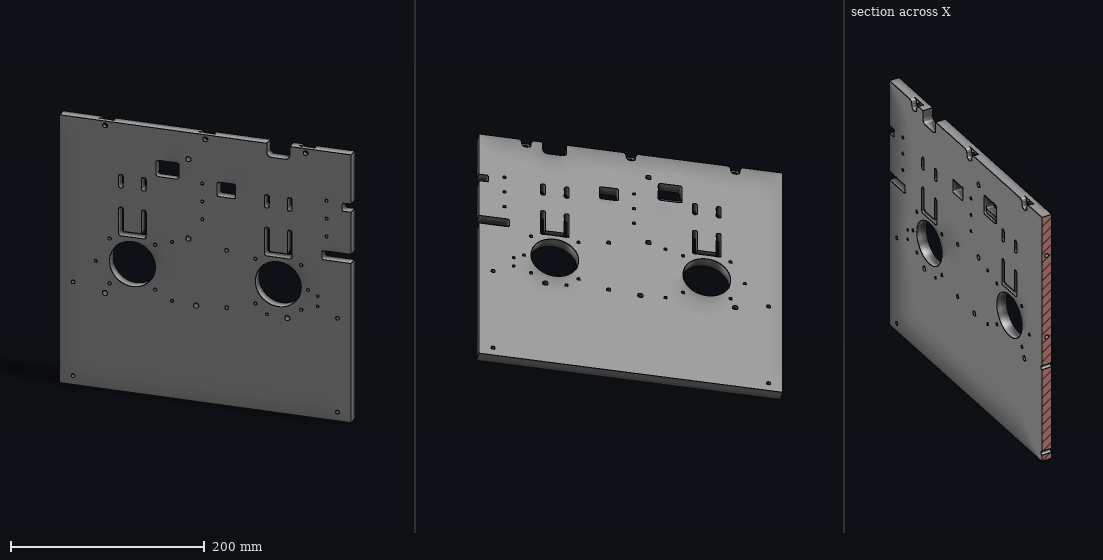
import cadquery as cq
import math

width = 320.0
height = 300.0
thickness = 12.0
right_edge = width / 2
top_edge = height / 2

station_offset = 80.0
bore_centre_z = -6.0
bore_diameter = 50.0
bore_screw_pitch = 50.0
bore_screw_diameter = 3.3
slot_width = 5.0
slot_pitch = 25.0
short_slot_length = 15.0
short_slot_z = 85.0
u_slot_top = 56.0
u_slot_bottom = 24.0

rounded_window = (-41.5, 105.0, 25.0, 18.0)
rounded_window_radius = 3.0
window_recess_depth = 3.0
window_recess_drop = 5.0
plain_window = (23.0, 91.0, 20.0, 16.0)
plain_window_radius = 2.0

top_notch_width = 25.0
top_notch_depth = 15.0
top_notch_radius = 5.0
side_notch_radius = 2.0
upper_side_notch = (90.2, 10.0, 9.0)
lower_side_notch = (33.4, 32.0, 10.0)

seat_pitch = 110.0
seat_inset = 5.0
seat_hole_diameter = 5.0
seat_width = 10.0
seat_depth = 6.0
seat_flare_radius = 4.0

large_hole_diameter = 5.5
large_holes = [(-18.5, 120.2), (-18.5, 31.2), (-110.0, -42.5), (-10.0, -42.5), (90.0, -42.5)]
corner_hole_diameter = 4.0
corner_hole_x = 145.0
corner_hole_heights = [-35.0, -140.0]
medium_hole_diameter = 4.0
medium_holes = [(23.4, 24.0), (23.4, -40.1)]
small_hole_diameter = 3.0
small_holes = [(-36.5, 25.0), (-36.5, -41.0), (67.6, -41.4), (-120.0, -8.0), (112.5, -8.0)]
small_column_x = [-3.3, 133.0]
small_column_heights = [95.0, 75.0, 55.0]
pin_hole_diameter = 2.5
pin_holes = [(123.2, -13.2), (123.2, -24.7)]

side_hole_heights = [101.0, 1.0]
side_mouth_diameter = 5.8
side_mouth_depth = 0.5
side_hole_diameter = 4.2
side_hole_depth = 20.0
drill_tip_angle = 118.0


def rear_plane(x=0, z=0):
    """Workplane on the rear face, extruding forward; local axes are X and Z."""
    return cq.Workplane("XZ", origin=(x, thickness / 2, z))


def hole_cutter(points, diameter):
    return rear_plane().pushPoints(points).circle(diameter / 2).extrude(thickness)


def box_cutter(x, z, size_x, size_z):
    return cq.Workplane("XY").box(size_x, thickness, size_z).translate((x, 0, z))


def slot_cutter(x, z, length, angle):
    return rear_plane(x, z).slot2D(length, slot_width, angle).extrude(thickness)


def station_cutter(x):
    """Large bore with its four screws, the two short slots and the U slot below them."""
    screw_pattern = rear_plane(x, bore_centre_z)
    cutter = hole_cutter([(x, bore_centre_z)], bore_diameter)
    arm_length = u_slot_top - u_slot_bottom
    arm_middle = (u_slot_top + u_slot_bottom) / 2
    screws = screw_pattern.rect(bore_screw_pitch, bore_screw_pitch, forConstruction=True).vertices()
    cutter = cutter.union(screws.circle(bore_screw_diameter / 2).extrude(thickness))
    for slot_x in (x - slot_pitch / 2, x + slot_pitch / 2):
        cutter = cutter.union(slot_cutter(slot_x, short_slot_z, short_slot_length, 90))
        cutter = cutter.union(slot_cutter(slot_x, arm_middle, arm_length, 90))
    bridge_z = u_slot_bottom + slot_width / 2
    return cutter.union(slot_cutter(x, bridge_z, slot_pitch + slot_width, 0))


def window_recess_cutter():
    x, z, size_x, size_z = rounded_window
    recess = box_cutter(x, z - window_recess_drop / 2, size_x, size_z + window_recess_drop)
    recess = recess.edges("|Y").fillet(rounded_window_radius)
    return recess.translate((0, thickness - window_recess_depth, 0))


def top_notch_cutter():
    notch = box_cutter(station_offset, top_edge, top_notch_width, 2 * top_notch_depth)
    return notch.edges("|Y").fillet(top_notch_radius)


def side_notch_cutter(z, depth, size_z):
    notch = box_cutter(right_edge, z, 2 * depth, size_z)
    return notch.edges("|Y").fillet(side_notch_radius)


def seat_cutter(x):
    """Round-bottomed recess from the rear face, flaring out into the top edge."""
    half_width = seat_width / 2
    flare_half = half_width + seat_flare_radius
    centre_z = top_edge - seat_inset
    flare_z = top_edge - seat_flare_radius
    arc_offset = seat_flare_radius / math.sqrt(2)
    outline = (
        rear_plane(x)
        .moveTo(-flare_half, top_edge)
        .threePointArc((-flare_half + arc_offset, flare_z + arc_offset), (-half_width, flare_z))
        .lineTo(-half_width, centre_z)
        .threePointArc((0, centre_z - half_width), (half_width, centre_z))
        .lineTo(half_width, flare_z)
        .threePointArc((flare_half - arc_offset, flare_z + arc_offset), (flare_half, top_edge))
        .close()
    )
    return outline.extrude(seat_depth).union(hole_cutter([(x, centre_z)], seat_hole_diameter))


def side_hole_cutter(z):
    bore_radius = side_hole_diameter / 2
    tip_length = bore_radius / math.tan(math.radians(drill_tip_angle / 2))
    mouth_radius = side_mouth_diameter / 2
    profile = (
        cq.Workplane("XY", origin=(-right_edge, 0, z))
        .lineTo(0, mouth_radius)
        .lineTo(side_mouth_depth, bore_radius)
        .lineTo(side_hole_depth, bore_radius)
        .lineTo(side_hole_depth + tip_length, 0)
        .close()
    )
    return profile.revolve(360, (0, 0, 0), (1, 0, 0))


result = cq.Workplane("XY").box(width, thickness, height)

for station_x in (-station_offset, station_offset):
    result = result.cut(station_cutter(station_x))

result = result.cut(box_cutter(*rounded_window).edges("|Y").fillet(rounded_window_radius))
result = result.cut(window_recess_cutter())
result = result.cut(box_cutter(*plain_window).edges("|Y").fillet(plain_window_radius))

result = result.cut(top_notch_cutter())
result = result.cut(side_notch_cutter(*upper_side_notch))
result = result.cut(side_notch_cutter(*lower_side_notch))

for seat_x in (-seat_pitch, 0, seat_pitch):
    result = result.cut(seat_cutter(seat_x))

corner_holes = [(side * corner_hole_x, z) for side in (-1, 1) for z in corner_hole_heights]
column_holes = [(x, z) for x in small_column_x for z in small_column_heights]
result = result.cut(hole_cutter(large_holes, large_hole_diameter))
result = result.cut(hole_cutter(corner_holes, corner_hole_diameter))
result = result.cut(hole_cutter(medium_holes, medium_hole_diameter))
result = result.cut(hole_cutter(small_holes + column_holes, small_hole_diameter))
result = result.cut(hole_cutter(pin_holes, pin_hole_diameter))

for hole_z in side_hole_heights:
    result = result.cut(side_hole_cutter(hole_z))